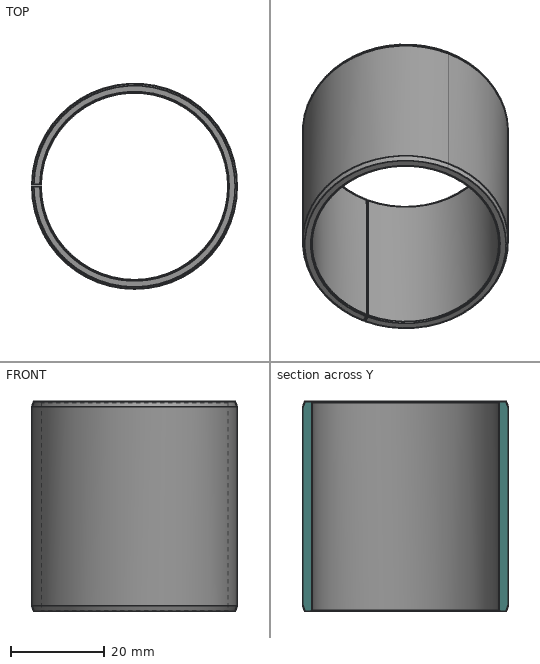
import cadquery as cq

length = 45.0
outer_diameter = 44.0
inner_diameter = 40.0
outer_chamfer_height = 1.2
outer_chamfer_depth = 0.45
inner_chamfer = 0.25
slit_width = 0.4

outer_radius = outer_diameter / 2
inner_radius = inner_diameter / 2
half_length = length / 2

upper_half = [
    (outer_radius, half_length - outer_chamfer_height),
    (outer_radius - outer_chamfer_depth, half_length),
    (inner_radius + inner_chamfer, half_length),
    (inner_radius, half_length - inner_chamfer),
]
lower_half = [(radius, -height) for radius, height in reversed(upper_half)]
sleeve = (
    cq.Workplane("XZ")
    .polyline(upper_half + lower_half)
    .close()
    .revolve(360, (0, 0, 0), (0, 1, 0))
)

slit = cq.Workplane("XY").box(
    outer_radius, slit_width, length, centered=(False, False, True)
).translate((-outer_radius, 0, 0))

result = sleeve.cut(slit)